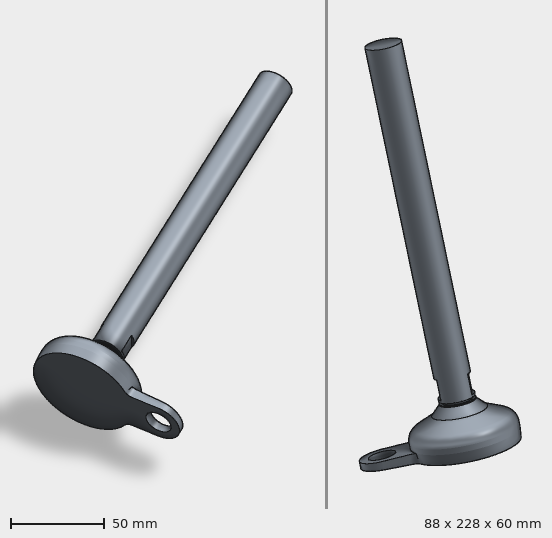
import cadquery as cq
import math

BASE_RADIUS = 29.5
FOOT_DIAMETER = 60.0
RIM_RADIUS = FOOT_DIAMETER / 2
RIM_START = 6.0
RIM_END = 9.1
SHOULDER_RADIUS = 7.0
CONE_RADIUS = 15.3
CONE_Y = 20.7
FOOT_TOP_RADIUS = 10.0
FOOT_HEIGHT = 26.2

OVERALL_X = 88.0
LUG_RADIUS = 12.5
LUG_HOLE_RADIUS = 7.5
LUG_CENTER_X = OVERALL_X - RIM_RADIUS - LUG_RADIUS
LUG_ROOT_HEIGHT = 6.0
LUG_TIP_HEIGHT = 4.0
LUG_FILLET = 5.5

OVERALL_Y = 228.0
ROD_RADIUS = 10.0
ROD_START = 28.3
NECK_RADIUS = 8.5
COLLAR_TOP = 27.0
COLLAR_BOTTOM_RADIUS = 9.1
FLAT_WIDTH = 16.9
FLAT_START = 29.6
FLAT_END = 41.3


def make_foot_body():
    """Revolved bell shape with a rounded shoulder."""
    center_x = RIM_RADIUS - SHOULDER_RADIUS
    reach_x = CONE_RADIUS - center_x
    reach_y = CONE_Y - RIM_END
    arc_angle = math.atan2(reach_y, reach_x) - math.acos(SHOULDER_RADIUS / math.hypot(reach_x, reach_y))

    def shoulder_point(angle):
        return (center_x + SHOULDER_RADIUS * math.cos(angle), RIM_END + SHOULDER_RADIUS * math.sin(angle))

    profile = (
        cq.Workplane("XY")
        .moveTo(0, 0)
        .lineTo(BASE_RADIUS, 0)
        .lineTo(RIM_RADIUS, RIM_START)
        .lineTo(RIM_RADIUS, RIM_END)
        .threePointArc(shoulder_point(arc_angle / 2), shoulder_point(arc_angle))
        .lineTo(CONE_RADIUS, CONE_Y)
        .lineTo(FOOT_TOP_RADIUS, FOOT_HEIGHT)
        .lineTo(0, FOOT_HEIGHT)
        .close()
    )
    return profile.revolve(360, (0, 0, 0), (0, 1, 0))


def make_lug():
    """Flat lug with concave root corners and a top that slopes to the tip."""
    arc_z = LUG_RADIUS + LUG_FILLET
    arc_x = math.sqrt((BASE_RADIUS + LUG_FILLET) ** 2 - arc_z**2)
    tangent_share = BASE_RADIUS / (BASE_RADIUS + LUG_FILLET)
    root_x = arc_x * tangent_share
    root_z = arc_z * tangent_share
    middle_angle = (math.atan2(arc_z, arc_x) + math.pi / 2) / 2
    middle_x = arc_x - LUG_FILLET * math.cos(middle_angle)
    middle_z = arc_z - LUG_FILLET * math.sin(middle_angle)
    lug_tip_x = LUG_CENTER_X + LUG_RADIUS

    outline = (
        cq.Workplane("XZ")
        .moveTo(0, root_z)
        .lineTo(root_x, root_z)
        .threePointArc((middle_x, middle_z), (arc_x, LUG_RADIUS))
        .lineTo(LUG_CENTER_X, LUG_RADIUS)
        .threePointArc((lug_tip_x, 0), (LUG_CENTER_X, -LUG_RADIUS))
        .lineTo(arc_x, -LUG_RADIUS)
        .threePointArc((middle_x, -middle_z), (root_x, -root_z))
        .lineTo(0, -root_z)
        .close()
        .extrude(-LUG_ROOT_HEIGHT)
    )
    slope = (
        cq.Workplane("XY")
        .moveTo(0, 0)
        .lineTo(lug_tip_x, 0)
        .lineTo(lug_tip_x, LUG_TIP_HEIGHT)
        .lineTo(root_x, LUG_ROOT_HEIGHT)
        .lineTo(0, LUG_ROOT_HEIGHT)
        .close()
        .extrude(root_z, both=True)
    )
    hole = (
        cq.Workplane("XZ")
        .center(LUG_CENTER_X, 0)
        .circle(LUG_HOLE_RADIUS)
        .extrude(-LUG_ROOT_HEIGHT)
    )
    return outline.intersect(slope).cut(hole)


def make_foot():
    return make_foot_body().union(make_lug())


def make_spindle():
    """Rod whose tapered collar rests on top of the foot."""
    profile = (
        cq.Workplane("XY")
        .moveTo(0, FOOT_HEIGHT)
        .lineTo(COLLAR_BOTTOM_RADIUS, FOOT_HEIGHT)
        .lineTo(ROD_RADIUS, COLLAR_TOP)
        .lineTo(NECK_RADIUS, COLLAR_TOP)
        .lineTo(NECK_RADIUS, ROD_START)
        .lineTo(ROD_RADIUS, ROD_START)
        .lineTo(ROD_RADIUS, OVERALL_Y)
        .lineTo(0, OVERALL_Y)
        .close()
    )
    spindle = profile.revolve(360, (0, 0, 0), (0, 1, 0))
    flat_length = FLAT_END - FLAT_START
    for side in (-1, 1):
        notch = cq.Workplane("XY").box(ROD_RADIUS, flat_length, 2 * ROD_RADIUS)
        notch_x = side * (FLAT_WIDTH + ROD_RADIUS) / 2
        spindle = spindle.cut(notch.translate((notch_x, FLAT_START + flat_length / 2, 0)))
    return spindle


foot = make_foot()
spindle = make_spindle()
result = cq.Compound.makeCompound([foot.val(), spindle.val()])